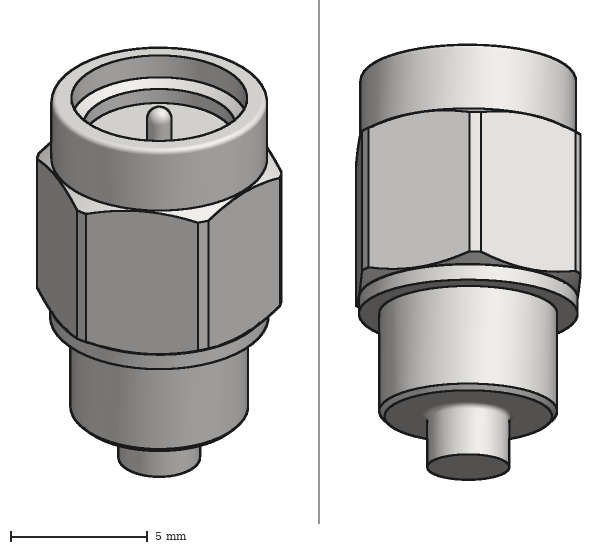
import cadquery as cq
import math

total_height = 15.0
body_bottom = 1.95
flange_bottom = 5.9
nut_bottom = 6.5
nut_top = 12.5

neck_radius = 1.5
body_radius = 3.25
cap_radius = 3.95
nut_across_flats = 8.0
nut_across_corners = 9.0
flange_radius = nut_across_flats / 2
nut_corner_radius = nut_across_corners / 2

nut_sides = 6
half_side_angle = 180 / nut_sides

cap_fillet = 0.2
body_chamfer = 0.2
neck_fillet = 0.2
nut_chamfer_angle = 30.0

socket_radius = 3.21
socket_depth = 0.92
inner_radius = 2.79
inner_start_depth = 1.17
floor_depth = 1.75

pin_radius = 0.45
pin_tip_depth = 0.42


def cylinder(radius, bottom, top):
    """Vertical cylinder on the Z axis between two heights."""
    return cq.Workplane("XY").workplane(offset=bottom).circle(radius).extrude(top - bottom)


def revolve_profile(points):
    """Solid of revolution about Z from (radius, height) points."""
    return cq.Workplane("XZ").polyline(points).close().revolve(360, (0, 0, 0), (0, 1, 0))


def make_nut():
    """Hexagon with flats facing +X and -X, rounded corners and conical end chamfers."""
    height = nut_top - nut_bottom
    sharp_corner_diameter = nut_across_flats / math.cos(math.radians(half_side_angle))
    hexagon = (
        cq.Workplane("XY")
        .workplane(offset=nut_bottom)
        .polygon(nut_sides, sharp_corner_diameter)
        .extrude(height)
        .rotate((0, 0, 0), (0, 0, 1), half_side_angle)
    )
    chamfer_height = (nut_corner_radius - cap_radius) * math.tan(math.radians(nut_chamfer_angle))
    envelope = revolve_profile([
        (0, nut_bottom),
        (cap_radius, nut_bottom),
        (nut_corner_radius, nut_bottom + chamfer_height),
        (nut_corner_radius, nut_top - chamfer_height),
        (cap_radius, nut_top),
        (0, nut_top),
    ])
    return hexagon.intersect(envelope)


def make_tail():
    """Flange, chamfered body and neck, with a fillet where the neck meets the body."""
    flange = cylinder(flange_radius, flange_bottom, nut_bottom)
    body = cylinder(body_radius, body_bottom, flange_bottom).faces("<Z").chamfer(body_chamfer)
    neck = cylinder(neck_radius, 0, body_bottom)
    body_and_neck = body.union(neck)
    neck_joint = body_and_neck.edges("%CIRCLE").edges(cq.selectors.RadiusNthSelector(0)).edges(">Z")
    return flange.union(neck_joint.fillet(neck_fillet))


def make_cap():
    """Round cap above the nut with a rounded top rim."""
    return cylinder(cap_radius, nut_top, total_height).faces(">Z").edges().fillet(cap_fillet)


def make_socket():
    """Stepped cavity: wide bore, conical shoulder, narrower bore down to a flat floor."""
    return revolve_profile([
        (0, total_height),
        (socket_radius, total_height),
        (socket_radius, total_height - socket_depth),
        (inner_radius, total_height - inner_start_depth),
        (inner_radius, total_height - floor_depth),
        (0, total_height - floor_depth),
    ])


def make_pin():
    """Centre pin with a hemispherical tip, standing on the socket floor."""
    dome_base = total_height - pin_tip_depth - pin_radius
    shaft = cylinder(pin_radius, total_height - floor_depth, dome_base)
    return shaft.union(cq.Workplane("XY").sphere(pin_radius).translate((0, 0, dome_base)))


result = make_tail().union(make_nut()).union(make_cap()).cut(make_socket()).union(make_pin())